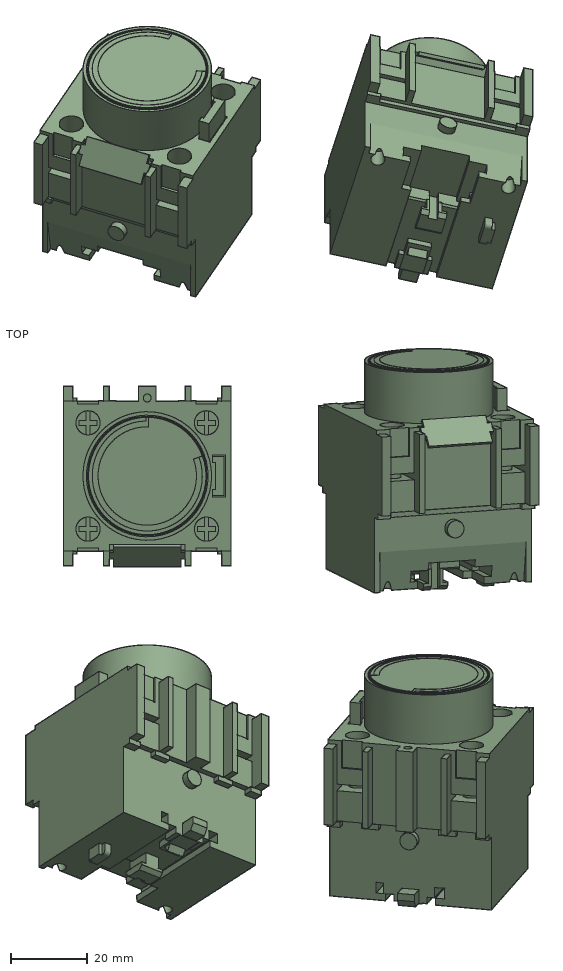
import cadquery as cq
import math

SIDES = (-1, 1)

width = 44.0
half_width = width / 2
base_half_depth = 17.95
head_half_depth = 19.6
post_half_depth = 23.55
ledge_half_depth = 20.45
ledge_bottom = 20.0
head_bottom = 21.5
post_top = 42.6
head_top = 43.7

outer_post_width = 2.5
inner_rib_inside = 9.9
inner_rib_outside = 11.5
foot_end_z = -3.3
foot_front_y = -3.95
foot_back_y = 2.7


def block(x_range, y_range, z_range):
    """Axis-aligned box given by its limits."""
    (x0, x1), (y0, y1), (z0, z1) = x_range, y_range, z_range
    return cq.Workplane("XY").box(x1 - x0, y1 - y0, z1 - z0, centered=False).translate((x0, y0, z0))


def sym_block(half_x, y_range, z_range):
    """Box centred on X = 0."""
    return block((-half_x, half_x), y_range, z_range)


def span(side, inner, outer):
    """Limits of a span on the given side of the middle plane, lowest first."""
    return tuple(sorted((side * inner, side * outer)))


def disc(x, y, radius, z0, z1):
    """Vertical cylinder."""
    return cq.Workplane("XY", origin=(x, y, z0)).circle(radius).extrude(z1 - z0)


def side_prism(points, x0, x1):
    """Prism along X from a (y, z) outline."""
    return cq.Workplane("YZ", origin=(x0, 0, 0)).polyline(points).close().extrude(x1 - x0)


def housing():
    body = sym_block(half_width, (-base_half_depth, base_half_depth), (0, head_top))
    head = sym_block(half_width, (-head_half_depth, head_half_depth), (head_bottom, head_top))
    return body.union(head)


ledge_inner_x = 18.45
ledge_middle_half_depth = 18.85
panel_half_depth = 19.8
back_lip_x = (8.15, 12.85)


def ribs_and_ledges():
    parts = sym_block(ledge_inner_x, (-ledge_middle_half_depth, 0), (ledge_bottom, head_bottom))
    for side_x in SIDES:
        back_lip_y = (base_half_depth, panel_half_depth)
        parts = parts.union(block(span(side_x, *back_lip_x), back_lip_y, (ledge_bottom, head_bottom)))
        panel_x = span(side_x, inner_rib_outside, half_width - outer_post_width)
        panel_y = (-panel_half_depth, -base_half_depth)
        parts = parts.union(block(panel_x, panel_y, (head_bottom, groove_z[0])))
        for side_y in SIDES:
            rib_y = span(side_y, base_half_depth, post_half_depth)
            ledge_y = span(side_y, 0, ledge_half_depth)
            post_x = span(side_x, half_width - outer_post_width, half_width)
            rib_x = span(side_x, inner_rib_inside, inner_rib_outside)
            parts = parts.union(block(post_x, rib_y, (head_bottom, post_top)))
            parts = parts.union(block(rib_x, rib_y, (head_bottom, post_top)))
            ledge_x = span(side_x, ledge_inner_x, half_width)
            parts = parts.union(block(ledge_x, ledge_y, (ledge_bottom, head_bottom)))
    return parts


center_rib_half_width = 2.3
rib_hole_y = 20.45
rib_hole_radius = 1.05
rib_hole_depth = 6.1


def center_rib():
    return sym_block(center_rib_half_width, (base_half_depth, post_half_depth), (head_bottom, head_top))


def center_rib_hole():
    return disc(0, rib_hole_y, rib_hole_radius, head_top - rib_hole_depth, head_top)


terminal_x = 15.5
terminal_y = 13.9
well_radius = 3.15
well_floor = 33.45
cross_long_width = 1.1
cross_short_width = 1.35
cross_short_half = 2.3
cross_depth = 0.6
screw_radius = 2.3
groove_z = (29.8, 31.65)
groove_inner_y = 10.95
notch_half_width = 2.75
notch_bottom = 36.15
notch_depth = 0.7


def terminal_cut(side_x, side_y):
    x = side_x * terminal_x
    y = side_y * terminal_y
    well = disc(x, y, well_radius, well_floor, head_top)
    cross_z = (well_floor - cross_depth, well_floor)
    long_slot = block((x - cross_long_width / 2, x + cross_long_width / 2),
                      (y - well_radius, y + well_radius), cross_z)
    long_slot = long_slot.intersect(disc(x, y, well_radius, *cross_z))
    short_slot = block((x - cross_short_half, x + cross_short_half),
                       (y - cross_short_width / 2, y + cross_short_width / 2), cross_z)
    groove = block(span(side_x, inner_rib_outside, half_width - outer_post_width),
                   span(side_y, groove_inner_y, head_half_depth), groove_z)
    groove = groove.cut(disc(x, y, screw_radius, *groove_z))
    notch = block((x - notch_half_width, x + notch_half_width),
                  span(side_y, head_half_depth - notch_depth, head_half_depth),
                  (notch_bottom, head_top))
    return well.union(long_slot).union(short_slot).union(groove).union(notch)


dial_radius = 16.85
dial_rim_z = 57.3
dial_face_z = 57.55
rim_groove_outer = 15.95
rim_groove_inner = 15.65
face_radius = 15.4
scale_mid_radius = 14.4
scale_inner_radius = 12.9
scale_start_angle = 88.7
outer_scale_start_angle = 91.2
scale_end_angle = 380
outer_scale_drop = 0.1
inner_scale_drop = 0.05
rim_groove_depth = 0.2


def dial_sector(inner, outer, start_angle, drop):
    """Ring sector cut into the dial face along the scale."""
    def point(radius, angle):
        a = math.radians(angle)
        return (radius * math.cos(a), radius * math.sin(a))

    middle = (start_angle + scale_end_angle) / 2
    return (
        cq.Workplane("XY", origin=(0, 0, dial_face_z - drop))
        .moveTo(*point(inner, start_angle))
        .lineTo(*point(outer, start_angle))
        .threePointArc(point(outer, middle), point(outer, scale_end_angle))
        .lineTo(*point(inner, scale_end_angle))
        .threePointArc(point(inner, middle), point(inner, start_angle))
        .close()
        .extrude(drop)
    )


def dial():
    knob = disc(0, 0, dial_radius, head_top, dial_rim_z)
    groove = disc(0, 0, rim_groove_outer, dial_rim_z - rim_groove_depth, dial_rim_z)
    groove = groove.cut(disc(0, 0, rim_groove_inner, dial_rim_z - rim_groove_depth, dial_rim_z))
    knob = knob.cut(groove).union(disc(0, 0, face_radius, dial_rim_z, dial_face_z))
    knob = knob.cut(dial_sector(scale_mid_radius, face_radius, outer_scale_start_angle, outer_scale_drop))
    return knob.cut(dial_sector(scale_inner_radius, face_radius, scale_start_angle, inner_scale_drop))


upright_x = (17.15, 20.1)
upright_half_length = 5.05
upright_top = 49.5
upright_gap = 0.4
upright_pocket_depth = 0.6
upright_relief_depth = 0.65
upright_relief_half = 3.5


def c_block(gap, z_range):
    """Upright bar with its relief on the dial side, grown outward by a gap."""
    reach = upright_half_length + gap
    bar = block((upright_x[0], upright_x[1] + gap), (-reach, reach), z_range)
    relief_x = (upright_x[0], upright_x[0] + upright_relief_depth)
    relief = block(relief_x, (-upright_relief_half, upright_relief_half), z_range)
    return bar.cut(relief)


def upright_pocket():
    return c_block(upright_gap, (head_top - upright_pocket_depth, head_top))


def upright():
    return c_block(0, (head_top - upright_pocket_depth, upright_top))


flap_half_width = 8.9
flap_top = (-18.6, 45.45)
flap_low_y = -23.8
flap_tilt = math.radians(50)
flap_thickness = 0.9
flap_notch_y = -17.95
flap_notch_depth = 0.9
hinge_low_z = 41.65
hinge_root = (-18.85, 39.5)


def flap_notch():
    notch_z = (head_top - flap_notch_depth, head_top)
    return sym_block(inner_rib_inside, (-head_half_depth, flap_notch_y), notch_z)


def flap():
    def face_y(z):
        return flap_top[0] - (flap_top[1] - z) / math.tan(flap_tilt)

    low = (flap_low_y, flap_top[1] - (flap_top[0] - flap_low_y) * math.tan(flap_tilt))
    inset_y = flap_thickness * math.sin(flap_tilt)
    inset_z = -flap_thickness * math.cos(flap_tilt)
    plate = side_prism(
        [flap_top, low, (low[0] + inset_y, low[1] + inset_z), (flap_top[0] + inset_y, flap_top[1] + inset_z)],
        -flap_half_width, flap_half_width)
    hinge = side_prism(
        [(-head_half_depth, head_top), (face_y(head_top), head_top),
         (face_y(hinge_low_z), hinge_low_z), hinge_root],
        -inner_rib_inside, inner_rib_inside)
    return plate.union(hinge)


pin_radius = 2.3
pin_length = 2.0
front_pin_z = 15.9
back_pin_z = 17.65


def pins():
    pin = cq.Workplane("XZ").circle(pin_radius).extrude(pin_length)
    front = pin.translate((0, -base_half_depth, front_pin_z))
    back = pin.translate((0, base_half_depth + pin_length, back_pin_z))
    return front.union(back)


slope_half_width = 20.5
slope_top = 10.7
slope_depth = 1.8
edge_notch_x = 17.7
edge_notch_radius = 1.8
edge_notch_reach = 0.4
edge_notch_height = 6.1


def front_slope():
    foot_y = slope_depth - base_half_depth
    cut = side_prism([(-base_half_depth, slope_top), (foot_y, 0), (-base_half_depth, 0)],
                     -slope_half_width, slope_half_width)
    for side in SIDES:
        center_y = foot_y + edge_notch_radius - edge_notch_reach
        cut = cut.union(disc(side * edge_notch_x, center_y, edge_notch_radius, 0, edge_notch_height))
    return cut


channel_half = 9.3
channel_mouth_half = 6.8
channel_top_half = 6.5
front_pocket_half = 11.3
lip_top = 1.95
channel_top = 4.85
channel_roof = 6.8
front_pocket_end = -7.3


def channel():
    front = (-base_half_depth, front_pocket_end)
    full = (-base_half_depth, base_half_depth)
    cut = sym_block(front_pocket_half, front, (lip_top, channel_top))
    cut = cut.union(sym_block(channel_half, front, (0, lip_top)))
    cut = cut.union(sym_block(channel_half, full, (lip_top, channel_top)))
    cut = cut.union(sym_block(channel_mouth_half, full, (0, lip_top)))
    return cut.union(sym_block(channel_top_half, full, (channel_top, channel_roof)))


carriage_x = (-6.5, 7.3)
carriage_front_y = -3.65
carriage_chamfer = 0.5
stem_x = (-1.6, 2.55)
toe_x = (-3.0, 3.9)
toe_top = -1.35
toe_chamfer = 1.1
slide_slot_x = (-0.8, 1.65)
slide_slot_depth = 1.8
saddle_half = 3.15
saddle_front_y = 9.1
tab_half = 2.3
tab_root_half = 4.5
tab_front_y = 13.4
tab_end_y = 22.4
tab_z = (0.2, 3.9)
tab_chamfer_y = 1.15
tab_chamfer_z = 1.8
wedge_half = 2.55
wedge_tip = (11.85, -1.8)
wedge_y = (10.45, 12.95)


def slide():
    carriage = side_prism(
        [(carriage_front_y, lip_top + carriage_chamfer), (carriage_front_y + carriage_chamfer, lip_top),
         (base_half_depth, lip_top), (base_half_depth, channel_roof), (carriage_front_y, channel_roof)],
        *carriage_x)
    foot_y = (foot_front_y, foot_back_y)
    foot = block(stem_x, foot_y, (foot_end_z, lip_top + carriage_chamfer))
    foot = foot.union(block(toe_x, foot_y, (foot_end_z, toe_top)))
    foot = foot.faces("<Z").edges("|X").chamfer(toe_chamfer)
    slot = block(slide_slot_x, (foot_front_y, foot_front_y + slide_slot_depth), (foot_end_z, channel_roof))
    saddle = sym_block(saddle_half, (saddle_front_y, base_half_depth), (0, channel_top))
    tab = side_prism(
        [(tab_front_y, tab_z[0]), (tab_end_y - tab_chamfer_y, tab_z[0]),
         (tab_end_y, tab_z[0] + tab_chamfer_z), (tab_end_y, tab_z[1]), (tab_front_y, tab_z[1])],
        -tab_half, tab_half)
    tab_root = sym_block(tab_root_half, (tab_front_y, base_half_depth), tab_z)
    wedge = side_prism([(wedge_y[0], 0), wedge_tip, (wedge_y[1], 0)], -wedge_half, wedge_half)
    return carriage.union(foot).cut(slot).union(saddle).union(tab_root).union(tab).union(wedge)


locating_foot_x = (14.25, 16.25)
locating_rib_end_x = 17.2
locating_round = 1.15


def locating_foot():
    foot = block(locating_foot_x, (foot_front_y, foot_back_y), (foot_end_z, 0))
    foot = foot.edges("|X and <Z").fillet(locating_round)
    rib = block((locating_foot_x[1], locating_rib_end_x),
                (foot_front_y + locating_round, foot_back_y - locating_round), (foot_end_z, 0))
    return foot.union(rib)


result = housing().union(ribs_and_ledges()).union(center_rib()).union(pins())
result = result.cut(center_rib_hole()).cut(upright_pocket()).cut(flap_notch())
for side_x in SIDES:
    for side_y in SIDES:
        result = result.cut(terminal_cut(side_x, side_y))
result = result.cut(front_slope()).cut(channel())
result = result.union(dial()).union(upright()).union(flap())
result = result.union(slide()).union(locating_foot())